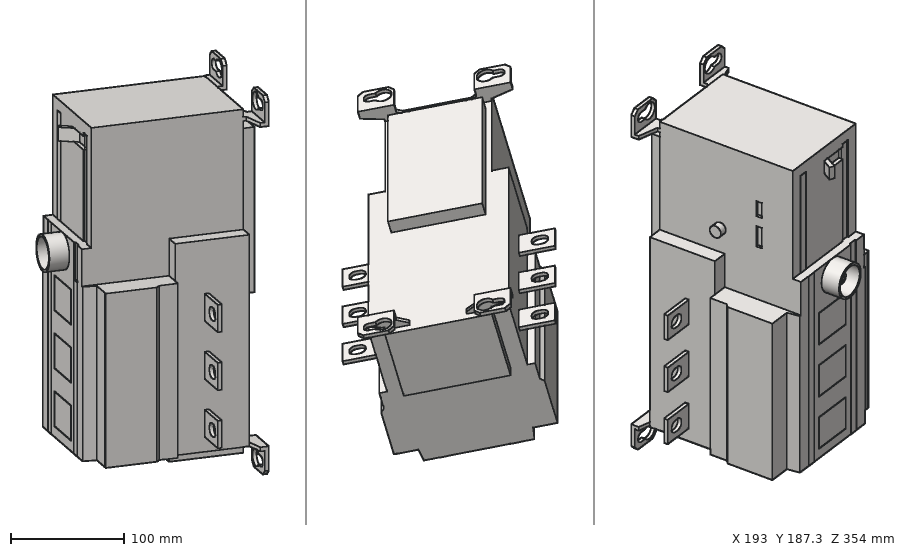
import cadquery as cq


total_height = 354.0
total_width = 193.0
back_reach = 16.3
knob_front = -171.0

housing_half_width = 48.5
housing_half_height = 160.5
upper_front = -143.5
lower_front = -152.2
lower_bottom = -149.5
step_top = 48.0
terminal_block_half_width = 63.7
terminal_block_front = -70.0

cover_top = 13.5
cover_half_width = 74.5
cover_rear_half_width = 70.8
cover_chamfer_start = -87.8
cover_front = -139.5
cover_edge_width = 2.5
cover_edge_relief = 0.18
nose_root_half_width = 52.0
nose_tip_half_width = 50.3

back_plate_half_width = 43.0
back_plate_thickness = 12.7
back_plate_top = 140.5
back_plate_bottom = -13.8

bracket_outer = 69.5
bracket_inner = 36.5
bracket_thickness = 4.0
bracket_foot = 149.5
bracket_chamfer = 5.0
flange_outer_bend = 8.0
flange_outer_root = 2.5
flange_inner_root = 26.0
keyhole_big_radius = 8.0
keyhole_big_x = 46.7
keyhole_small_radius = 5.0
keyhole_small_x = 59.0
keyhole_z = 166.5

lug_height = 25.5
lug_thickness = 4.0
lug_front = -42.0
lug_pitch = 54.0
lug_top_center = -14.5
lug_hole_x = 83.0
lug_hole_length = 15.2
lug_hole_height = 12.0

knob_z = 31.0
knob_radius = 17.0
knob_bore_radius = 15.0
shaft_radius = 5.5
shaft_length = 10.5
shaft_socket = 6.0
shaft_socket_depth = 3.5

strip_inner = 28.3
strip_outer = 36.8
strip_top = 149.5
strip_height = 0.18
groove_depth = 1.5
window_width = 41.5
window_height = 32.5
window_depth = 0.5
window_top_center = -15.0

lever_bottom = 133.5
lever_height = 12.7
lever_pocket_depth = 4.2
lever_root_left = 2.5
lever_root_right = 7.8
lever_tip_left = -6.5
lever_tip_right = -1.8
lever_corner_front = -153.3
lever_tip_front = -155.8

peg_y = -65.0
peg_z = 73.0
peg_radius = 6.0
peg_length = 7.5
slot_y = -107.0
slot_width = 6.5
slot_depth = 3.0
slot_spans = [(99.5, 115.0), (68.0, 89.2)]


def box(x0, x1, y0, y1, z0, z1):
    return cq.Workplane("XY").box(x1 - x0, y1 - y0, z1 - z0, centered=False).translate((x0, y0, z0))


def centered_box(half_width, y0, y1, z0, z1):
    return box(-half_width, half_width, y0, y1, z0, z1)


def front_cylinder(radius, x, z, y_front, y_back):
    """Round bar along Y."""
    disc = cq.Workplane("XZ", origin=(x, y_back, z)).circle(radius)
    return disc.extrude(y_back - y_front)


def make_housing():
    upper = centered_box(housing_half_width, upper_front, 0, lower_bottom, housing_half_height)
    lower = centered_box(housing_half_width, lower_front, 0, lower_bottom, step_top)
    foot = centered_box(housing_half_width, terminal_block_front, 0, -housing_half_height, lower_bottom)
    terminal_block = centered_box(
        terminal_block_half_width, terminal_block_front, 0, lower_bottom, step_top)
    back_plate = centered_box(
        back_plate_half_width, 0, back_plate_thickness, back_plate_bottom, back_plate_top)
    return upper.union(lower).union(foot).union(terminal_block).union(back_plate)


def make_cover():
    """Side covers with their tapered nose, as one outline extruded upward."""
    chamfer_end = cover_chamfer_start - (cover_half_width - cover_rear_half_width)
    right_side = [
        (cover_rear_half_width, terminal_block_front),
        (cover_rear_half_width, cover_chamfer_start),
        (cover_half_width, chamfer_end),
        (cover_half_width, cover_front),
        (nose_root_half_width, cover_front),
        (nose_tip_half_width, lower_front),
    ]
    left_side = [(-x, y) for x, y in reversed(right_side)]
    outline = cq.Workplane("XY", origin=(0, 0, lower_bottom)).polyline(right_side + left_side).close()
    cover = outline.extrude(cover_top - lower_bottom)
    edge_relief = box(
        cover_half_width - cover_edge_width, cover_half_width,
        cover_front, cover_front + cover_edge_relief, lower_bottom, cover_top)
    return cover.cut(edge_relief)


def make_bracket():
    """Upper right bracket: an upright keyhole tab on a tapered flange."""
    tab_back = back_reach - bracket_thickness
    tab = box(bracket_inner, bracket_outer, tab_back, back_reach, bracket_foot, total_height / 2)
    tab = tab.edges("|Y and >Z").chamfer(bracket_chamfer)
    flange_outline = [
        (bracket_inner, back_reach),
        (bracket_outer, back_reach),
        (bracket_outer, flange_outer_bend),
        (housing_half_width, flange_outer_root),
        (housing_half_width, 0),
        (flange_inner_root, 0),
        (flange_inner_root, flange_outer_root),
        (bracket_inner, flange_outer_bend),
    ]
    flange = cq.Workplane("XY", origin=(0, 0, bracket_foot)).polyline(flange_outline).close()
    bracket = tab.union(flange.extrude(bracket_thickness))
    big_hole = front_cylinder(keyhole_big_radius, keyhole_big_x, keyhole_z, tab_back, back_reach)
    small_hole = front_cylinder(keyhole_small_radius, keyhole_small_x, keyhole_z, tab_back, back_reach)
    link = box(
        keyhole_big_x, keyhole_small_x, tab_back, back_reach,
        keyhole_z - keyhole_small_radius, keyhole_z + keyhole_small_radius)
    return bracket.cut(big_hole).cut(small_hole).cut(link)


def make_lug(center_z):
    """Right terminal lug with its oblong hole."""
    lug = box(
        terminal_block_half_width, total_width / 2, lug_front, lug_front + lug_thickness,
        center_z - lug_height / 2, center_z + lug_height / 2)
    hole = (
        cq.Workplane("XZ", origin=(lug_hole_x, lug_front + lug_thickness, center_z))
        .slot2D(lug_hole_length, lug_hole_height)
        .extrude(lug_thickness)
    )
    return lug.cut(hole)


def make_knob():
    """Hollow knob around a short shaft with a square socket."""
    knob = front_cylinder(knob_radius, 0, knob_z, knob_front, lower_front)
    knob = knob.cut(front_cylinder(knob_bore_radius, 0, knob_z, knob_front, lower_front))
    shaft_front = lower_front - shaft_length
    shaft = front_cylinder(shaft_radius, 0, knob_z, shaft_front, lower_front)
    half_socket = shaft_socket / 2
    socket = centered_box(
        half_socket, shaft_front, shaft_front + shaft_socket_depth,
        knob_z - half_socket, knob_z + half_socket)
    return knob.union(shaft.cut(socket))


def make_lever():
    """Tab leaning out of the upper front face, rooted at the floor of its pocket."""
    pocket_floor = upper_front + lever_pocket_depth
    outline = [
        (lever_root_left, pocket_floor),
        (lever_tip_left, lever_corner_front),
        (lever_tip_right, lever_tip_front),
        (lever_root_right, pocket_floor),
    ]
    return cq.Workplane("XY", origin=(0, 0, lever_bottom)).polyline(outline).close().extrude(lever_height)


body = make_housing().union(make_cover())

bracket_pair = make_bracket()
bracket_pair = bracket_pair.union(bracket_pair.mirror("YZ"))
body = body.union(bracket_pair).union(bracket_pair.mirror("XY"))

for row in range(3):
    lug = make_lug(lug_top_center - row * lug_pitch)
    body = body.union(lug).union(lug.mirror("YZ"))
    window_z = window_top_center - row * lug_pitch
    window = centered_box(
        window_width / 2, lower_front, lower_front + window_depth,
        window_z - window_height / 2, window_z + window_height / 2)
    body = body.cut(window)

for front, bottom, top in [(upper_front, step_top, strip_top), (lower_front, lower_bottom, step_top)]:
    body = body.union(box(-strip_outer, -strip_inner, front - strip_height, front, bottom, top))
body = body.union(
    box(strip_inner, strip_outer, lower_front - strip_height, lower_front, lower_bottom, cover_top))

for front, bottom, top in [(upper_front, step_top, strip_top), (lower_front, cover_top, step_top)]:
    body = body.cut(box(strip_inner, strip_outer, front, front + groove_depth, bottom, top))

lever_pocket = box(
    lever_root_left, strip_inner, upper_front, upper_front + lever_pocket_depth,
    lever_bottom, lever_bottom + lever_height)
body = body.cut(lever_pocket).union(make_lever())

for slot_bottom, slot_top in slot_spans:
    body = body.cut(box(
        -housing_half_width, -housing_half_width + slot_depth,
        slot_y - slot_width / 2, slot_y + slot_width / 2, slot_bottom, slot_top))
peg = cq.Workplane("YZ", origin=(-housing_half_width, peg_y, peg_z)).circle(peg_radius).extrude(-peg_length)

result = body.union(peg).union(make_knob())